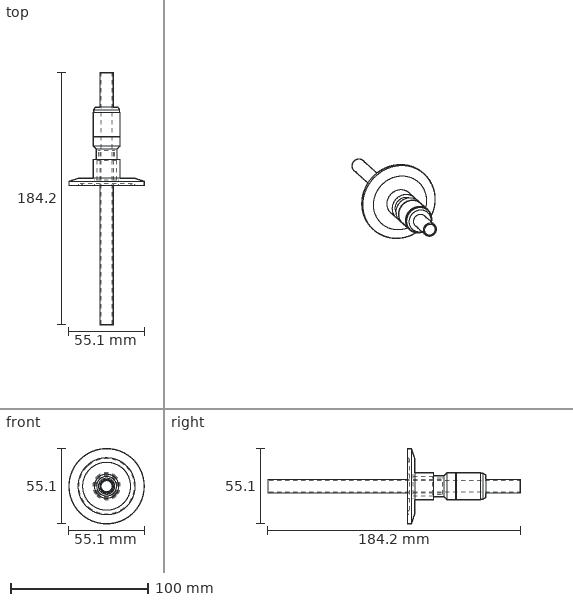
import cadquery as cq

TOTAL_LENGTH = 184.2
TUBE_RADIUS = 5.0
TUBE_BORE_RADIUS = 4.0

FLANGE_RADIUS = 27.53
FLANGE_FRONT = 101.7
FLANGE_RIM_LENGTH = 3.1
FLANGE_THICKNESS = 5.5
FLANGE_BACK_RADIUS = 20.3
RING_OUTER_RADIUS = 20.8
RING_INNER_RADIUS = 17.5
RING_DEPTH = 1.5

BODY_RADIUS = 10.0
HUB_END = 120.8
NECK_RADIUS = 7.7
NECK_END = 128.4
NUT_START = NECK_END + BODY_RADIUS - NECK_RADIUS
SEAM_START = 137.0
SEAM_WIDTH = 0.5
SEAM_DEPTH = 0.2
COLLAR_END = 155.0
CAP_RADIUS = 9.5
CAP_SHOULDER = 156.9
CAP_END = 159.0
CAP_END_RADIUS = 8.3

CLEARANCE_RADIUS = 8.8
CLEARANCE_DEPTH = 4.0
INNER_STEP_RADIUS = 7.2
INNER_STEP_DEPTH = 18.5
SEAT_RADIUS = 5.9
SEAT_DEPTH = 25.8


def cylinder(radius, start, length):
    """Cylinder along +Y, beginning at the given station."""
    return cq.Workplane("XZ", origin=(0, start, 0)).circle(radius).extrude(-length)


def fitting_body():
    """Flange, hub, neck and nut turned from one outline of (radius, station)."""
    flange_back = FLANGE_FRONT + FLANGE_THICKNESS
    outline = [
        (0, FLANGE_FRONT),
        (FLANGE_RADIUS, FLANGE_FRONT),
        (FLANGE_RADIUS, FLANGE_FRONT + FLANGE_RIM_LENGTH),
        (FLANGE_BACK_RADIUS, flange_back),
        (BODY_RADIUS, flange_back),
        (BODY_RADIUS, HUB_END),
        (NECK_RADIUS, HUB_END),
        (NECK_RADIUS, NECK_END),
        (BODY_RADIUS, NUT_START),
        (BODY_RADIUS, SEAM_START),
        (BODY_RADIUS - SEAM_DEPTH, SEAM_START + SEAM_WIDTH / 2),
        (BODY_RADIUS, SEAM_START + SEAM_WIDTH),
        (BODY_RADIUS, COLLAR_END),
        (CAP_RADIUS, COLLAR_END),
        (CAP_RADIUS, CAP_SHOULDER),
        (CAP_END_RADIUS, CAP_END),
        (0, CAP_END),
    ]
    return cq.Workplane("XY").polyline(outline).close().revolve(360, (0, 0, 0), (0, 1, 0))


def ring_groove():
    """Round-bottomed gasket groove in the flange face."""
    middle_radius = (RING_OUTER_RADIUS + RING_INNER_RADIUS) / 2
    section = (
        cq.Workplane("XY")
        .moveTo(RING_INNER_RADIUS, FLANGE_FRONT)
        .threePointArc((middle_radius, FLANGE_FRONT + RING_DEPTH), (RING_OUTER_RADIUS, FLANGE_FRONT))
        .close()
    )
    return section.revolve(360, (0, 0, 0), (0, 1, 0))


fitting = fitting_body().cut(ring_groove())
for step_radius, step_depth in (
    (CLEARANCE_RADIUS, CLEARANCE_DEPTH),
    (INNER_STEP_RADIUS, INNER_STEP_DEPTH),
    (SEAT_RADIUS, SEAT_DEPTH),
):
    fitting = fitting.cut(cylinder(step_radius, FLANGE_FRONT, step_depth))

tube = cylinder(TUBE_RADIUS, 0, TOTAL_LENGTH)
tube_bore = cylinder(TUBE_BORE_RADIUS, 0, TOTAL_LENGTH)
result = fitting.union(tube).cut(tube_bore)